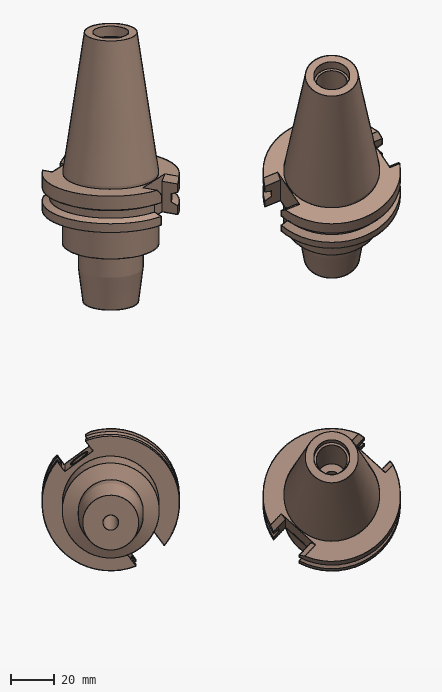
import cadquery as cq

total_height = 131.8
nose_taper_top = 16.6
shoulder_cone_top = 28.5
shoulder_cone_bottom = 25.8
flange_bottom = 44.8
flange_top = 62.6
gauge_line = 63.8

nose_radius = 12.9
neck_radius = 15.0
body_radius = 22.4
flange_radius = 31.8
gauge_radius = 22.1
taper_ratio = 7 / 24
taper_top_radius = gauge_radius - (total_height - gauge_line) * taper_ratio / 2

groove_center = 52.5
groove_mouth_width = 6.7
groove_floor_width = 3.7
groove_floor_radius = 28.3

slot_width = 16.2
slot_chamfer = 2.8
slot_floor_minus_x = 24.8
slot_floor_plus_x = 22.5

recess_radius = 4.9
recess_depth = 0.4

through_radius = 3.5
thread_radius = 7.1
thread_depth = 39.5
counterbore_radius = 8.3
counterbore_depth = 5.0


def turned_body():
    """Revolve the half outline of the nose, body, flange and taper."""
    half_mouth = groove_mouth_width / 2
    half_floor = groove_floor_width / 2
    outline = [
        (0, 0),
        (nose_radius, 0),
        (neck_radius, nose_taper_top),
        (neck_radius, shoulder_cone_bottom),
        (body_radius, shoulder_cone_top),
        (body_radius, flange_bottom),
        (flange_radius, flange_bottom),
        (flange_radius, groove_center - half_mouth),
        (groove_floor_radius, groove_center - half_floor),
        (groove_floor_radius, groove_center + half_floor),
        (flange_radius, groove_center + half_mouth),
        (flange_radius, flange_top),
        (gauge_radius, flange_top),
        (gauge_radius, gauge_line),
        (taper_top_radius, total_height),
        (0, total_height),
    ]
    return cq.Workplane("XZ").polyline(outline).close().revolve(360, (0, 0), (0, 1))


def drive_slot(side, floor_distance):
    """Cutter for one slot through the flange, flared at its top; side is -1 or +1."""
    half_width = slot_width / 2
    half_flare = half_width + slot_chamfer
    section = [
        (-half_width, flange_bottom),
        (half_width, flange_bottom),
        (half_width, flange_top - slot_chamfer),
        (half_flare, flange_top),
        (-half_flare, flange_top),
        (-half_width, flange_top - slot_chamfer),
    ]
    return (
        cq.Workplane("YZ", origin=(side * floor_distance, 0, 0))
        .polyline(section)
        .close()
        .extrude(side * flange_radius)
    )


def slot_recess():
    """Cutter for the round recess in the -X slot floor."""
    return (
        cq.Workplane("YZ", origin=(-slot_floor_minus_x, 0, groove_center))
        .circle(recess_radius)
        .extrude(recess_depth)
    )


def bore_from_top(radius, depth):
    """Cutter for a round bore sunk from the small end of the taper."""
    return cq.Workplane("XY", origin=(0, 0, total_height)).circle(radius).extrude(-depth)


result = (
    turned_body()
    .cut(drive_slot(-1, slot_floor_minus_x))
    .cut(drive_slot(1, slot_floor_plus_x))
    .cut(slot_recess())
    .cut(bore_from_top(through_radius, total_height))
    .cut(bore_from_top(thread_radius, thread_depth))
    .cut(bore_from_top(counterbore_radius, counterbore_depth))
)